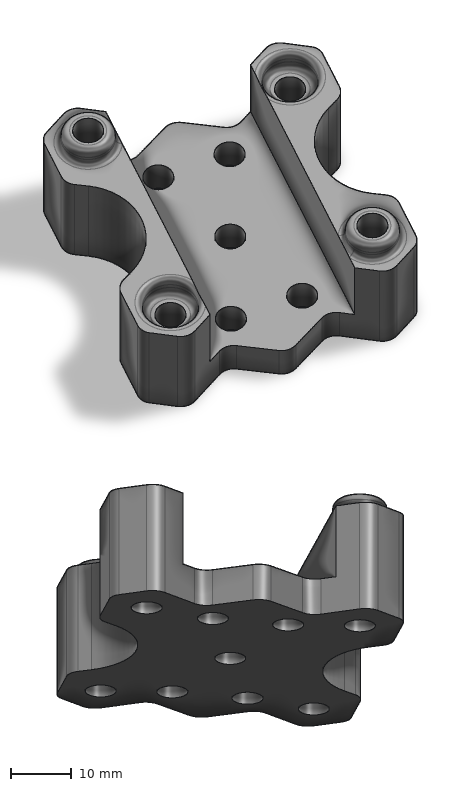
import cadquery as cq
import math

half_width = 25.4
half_depth = 24.8
wall_height = 19.05
floor_thickness = 6.35
channel_half_width = 12.9

tip_radius = 3.0
post_tip_angle = math.radians(58.5)
middle_tip_angle = math.radians(59.6)
outer_corner_radius = 2.5

bite_radius = 11.0
bite_bottom_y = 15.875
bite_flank_angle = math.radians(60)
bite_corner_radius = 2.75

hole_diameter = 5.1
post_offset = 18.0
mount_hole_x = 15.875
mount_hole_y = 6.35

stud_radius = 4.5
stud_height = 3.175
stud_top_round = 1.45
stud_base_fillet = 1.15
fit_clearance = 0.15
socket_radius = stud_radius + fit_clearance
socket_depth = stud_height + fit_clearance
socket_mouth_round = 1.2
socket_floor_fillet = 1.35


def build_plate():
    """Full-height block with scalloped sides and a round bite in each end."""
    post_tip_x = half_width + tip_radius * (1 / math.sin(post_tip_angle) - 1)
    middle_tip_x = half_width + tip_radius * (1 / math.sin(middle_tip_angle) - 1)
    post_run = 1 / math.tan(post_tip_angle)
    middle_run = 1 / math.tan(middle_tip_angle)
    notch_y = (post_offset * post_run - post_tip_x + middle_tip_x) / (post_run + middle_run)
    notch_x = middle_tip_x - notch_y * middle_run
    corner_x = post_tip_x - (half_depth - post_offset) * post_run

    flank_x = bite_radius * math.sin(bite_flank_angle)
    flank_y = bite_bottom_y + bite_radius * (1 - math.cos(bite_flank_angle))
    bite_x = flank_x + (half_depth - flank_y) / math.tan(bite_flank_angle)

    right_side = [
        (corner_x, -half_depth),
        (post_tip_x, -post_offset),
        (notch_x, -notch_y),
        (middle_tip_x, 0),
        (notch_x, notch_y),
        (post_tip_x, post_offset),
        (corner_x, half_depth),
    ]
    left_side = [(-x, -y) for x, y in right_side]

    outline = cq.Workplane("XY").moveTo(bite_x, -half_depth)
    for side, end in ((right_side, 1), (left_side, -1)):
        for point in side:
            outline = outline.lineTo(*point)
        outline = (
            outline.lineTo(end * bite_x, end * half_depth)
            .lineTo(end * flank_x, end * flank_y)
            .threePointArc((0, end * bite_bottom_y), (-end * flank_x, end * flank_y))
            .lineTo(-end * bite_x, end * half_depth)
        )
    plate = outline.close().extrude(wall_height)

    plate = round_upright_edges(plate, right_side[1:-1], tip_radius)
    plate = round_upright_edges(plate, [(corner_x, half_depth)], outer_corner_radius)
    return round_upright_edges(plate, [(bite_x, half_depth)], bite_corner_radius)


def round_upright_edges(body, points, radius):
    """Round the upright edges at the given points and their mirror images."""
    tolerance = 0.01
    places = {(abs(x), abs(y)) for x, y in points}

    def is_wanted(edge):
        center = edge.Center()
        return any(
            math.dist((abs(center.x), abs(center.y)), place) < tolerance for place in places
        )

    edges = body.edges("|Z").filter(is_wanted)
    return edges.fillet(radius)


def add_studs(body):
    """Add a round-topped stud with a flared base on each post of one diagonal."""
    places = [(sign * post_offset, sign * post_offset) for sign in (-1, 1)]
    studs = (
        cq.Workplane("XY")
        .pushPoints(places)
        .circle(stud_radius)
        .extrude(wall_height + stud_height)
    )
    body = body.union(studs)
    body = stud_rims(body, wall_height).fillet(stud_base_fillet)
    return stud_rims(body, wall_height + stud_height).fillet(stud_top_round)


def stud_rims(body, height):
    """Circular edges of the stud radius that lie at the given height."""
    tolerance = 0.01

    def is_rim(edge):
        same_radius = abs(edge.radius() - stud_radius) < tolerance
        return same_radius and abs(edge.Center().z - height) < tolerance

    return body.edges("%CIRCLE").filter(is_rim)


def build_socket():
    """Cutter for a socket with a rounded mouth and a filleted floor, its axis on Z."""
    floor_z = wall_height - socket_depth
    mouth_center = (socket_radius + socket_mouth_round, wall_height - socket_mouth_round)
    fillet_center = (socket_radius - socket_floor_fillet, floor_z + socket_floor_fillet)
    mid_arc = math.sqrt(0.5)
    fillet_mid = (
        fillet_center[0] + socket_floor_fillet * mid_arc,
        fillet_center[1] - socket_floor_fillet * mid_arc,
    )
    mouth_mid = (
        mouth_center[0] - socket_mouth_round * mid_arc,
        mouth_center[1] + socket_mouth_round * mid_arc,
    )
    profile = (
        cq.Workplane("XZ")
        .moveTo(0, floor_z)
        .lineTo(fillet_center[0], floor_z)
        .threePointArc(fillet_mid, (socket_radius, fillet_center[1]))
        .lineTo(socket_radius, mouth_center[1])
        .threePointArc(mouth_mid, (mouth_center[0], wall_height))
        .lineTo(0, wall_height)
        .close()
    )
    return profile.revolve(360, (0, 0, 0), (0, 1, 0))


def build_channel():
    """Cutter for the channel along X between the two walls."""
    cutter_length = 4 * half_width
    return (
        cq.Workplane("XY")
        .workplane(offset=floor_thickness)
        .rect(cutter_length, 2 * channel_half_width)
        .extrude(wall_height - floor_thickness)
    )


def build_holes():
    """Cutter for every through hole: centre, channel floor and corner posts."""
    places = [(0, 0)]
    for x_sign in (-1, 1):
        for y_sign in (-1, 1):
            places.append((x_sign * mount_hole_x, y_sign * mount_hole_y))
            places.append((x_sign * post_offset, y_sign * post_offset))
    top_z = wall_height + stud_height
    return cq.Workplane("XY").pushPoints(places).circle(hole_diameter / 2).extrude(top_z)


body = add_studs(build_plate().cut(build_channel()))
for sign in (-1, 1):
    body = body.cut(build_socket().translate((sign * post_offset, -sign * post_offset, 0)))

result = body.cut(build_holes())